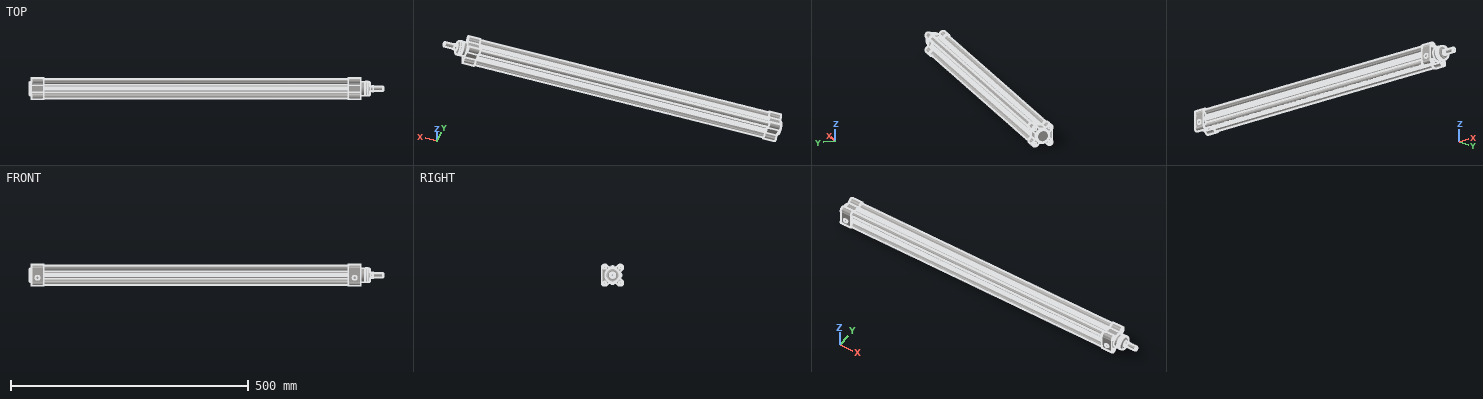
import cadquery as cq
import math


cap_length = 26.0
head_end_x = 694.0
head_start_x = head_end_x - cap_length
rod_shoulder_x = 720.0
thread_length = 22.0
rear_boss_length = 4.0

bolt_offset = 16.25
cap_lobe_radius = 6.5
cap_waist = 16.5
cap_side = bolt_offset + cap_lobe_radius
port_block_setback = 1.0

tube_lobe_radius = 4.5
core_radius = 16.0
barrel_radius = 17.5
barrel_half_width = 7.8
ridge_half_width = 2.8
ridge_shoulder = 18.6
ridge_top = 19.4

bolt_hole_radius = 3.0
bolt_hole_depth = 14.0
port_radius = 4.5
port_depth = 10.0
port_z = -5.5

boss_radius = 15.0
rear_boss_chamfer = 2.0
front_boss_end_x = 713.5
groove_start_x = 702.0
groove_width = 2.5
groove_depth = 0.5
collar_radius = 15.4
collar_end_x = 709.0
front_round_radius = 3.5

rod_radius = 6.0
thread_radius = 5.0
thread_chamfer = 1.5
flat_width = 10.0
flat_length = 5.0


def section_plane(x):
    """YZ sketch plane at x, extruding toward +X."""
    return cq.Workplane("YZ", origin=(x, 0, 0))


def cylinder(x, length, radius):
    return section_plane(x).circle(radius).extrude(length)


def lobed_arms(x, length, lobe_radius):
    """Two crossed diagonal bars with round ends centred on the bolt positions."""
    bar_length = 2 * (math.sqrt(2) * bolt_offset + lobe_radius)
    arms = section_plane(x).slot2D(bar_length, 2 * lobe_radius, 45).extrude(length)
    return arms.union(section_plane(x).slot2D(bar_length, 2 * lobe_radius, -45).extrude(length))


def lobed_block(x, block_x, block_length):
    """Waisted body of an end cap or head, with the -Y side filled flat for the port."""
    body = lobed_arms(x, cap_length, cap_lobe_radius)
    body = body.union(section_plane(x).rect(2 * cap_waist, 2 * cap_waist).extrude(cap_length))
    port_block = (
        section_plane(block_x)
        .center(-cap_side / 2, 0)
        .rect(cap_side, 2 * bolt_offset)
        .extrude(block_length)
    )
    return body.union(port_block)


def port(x):
    """Blind air port entering from the -Y side."""
    return (
        cq.Workplane("XZ", origin=(x, -cap_side, port_z))
        .circle(port_radius)
        .extrude(-port_depth)
    )


def bolt_holes(x, depth):
    spacing = 2 * bolt_offset
    return (
        section_plane(x)
        .rect(spacing, spacing, forConstruction=True)
        .vertices()
        .circle(bolt_hole_radius)
        .extrude(depth)
    )


def make_end_cap():
    cap = lobed_block(0, port_block_setback, cap_length - port_block_setback)
    boss = cylinder(-rear_boss_length, rear_boss_length, boss_radius)
    boss = boss.faces("<X").chamfer(rear_boss_chamfer)
    return cap.union(boss).cut(port(cap_length / 2)).cut(bolt_holes(0, bolt_hole_depth))


def make_tube():
    length = head_start_x - cap_length
    tube = cylinder(cap_length, length, core_radius)
    tube = tube.union(lobed_arms(cap_length, length, tube_lobe_radius))
    ridge_profile = [
        (-ridge_half_width, 0),
        (-ridge_half_width, ridge_shoulder),
        (0, ridge_top),
        (ridge_half_width, ridge_shoulder),
        (ridge_half_width, 0),
    ]
    strip = (
        section_plane(cap_length)
        .center(0, barrel_radius / 2)
        .rect(2 * barrel_half_width, barrel_radius)
        .extrude(length)
        .intersect(cylinder(cap_length, length, barrel_radius))
    )
    for quarter_turn in range(4):
        ridge = section_plane(cap_length).polyline(ridge_profile).close().extrude(length)
        side = strip.union(ridge)
        tube = tube.union(side.rotate((0, 0, 0), (1, 0, 0), 90 * quarter_turn))
    return tube


def make_head():
    head = lobed_block(head_start_x, head_start_x, cap_length)
    groove_end_x = groove_start_x + groove_width
    boss_profile = (
        cq.Workplane("XY")
        .moveTo(head_end_x, 0)
        .lineTo(head_end_x, boss_radius)
        .lineTo(groove_start_x, boss_radius)
        .lineTo(groove_start_x, boss_radius - groove_depth)
        .lineTo(groove_end_x, boss_radius - groove_depth)
        .lineTo(groove_end_x, collar_radius)
        .lineTo(collar_end_x, collar_radius)
        .lineTo(collar_end_x, boss_radius)
        .lineTo(front_boss_end_x - front_round_radius, boss_radius)
        .radiusArc((front_boss_end_x, boss_radius - front_round_radius), front_round_radius)
        .lineTo(front_boss_end_x, 0)
        .close()
    )
    boss = boss_profile.revolve(360, (0, 0, 0), (1, 0, 0))
    rod_bore = cylinder(head_start_x, front_boss_end_x - head_start_x, rod_radius)
    head = head.union(boss).cut(rod_bore).cut(port(head_start_x + cap_length / 2))
    return head.cut(bolt_holes(head_end_x, -bolt_hole_depth))


def make_piston_rod():
    rod = cylinder(head_start_x, rod_shoulder_x - head_start_x, rod_radius)
    thread = cylinder(rod_shoulder_x, thread_length, thread_radius).faces(">X").chamfer(thread_chamfer)
    flat_section = cylinder(front_boss_end_x, flat_length, rod_radius)
    between_flats = (
        section_plane(front_boss_end_x).rect(flat_width, 2 * rod_radius).extrude(flat_length)
    )
    return rod.cut(flat_section.cut(between_flats)).union(thread)


end_cap = make_end_cap()
tube = make_tube()
head = make_head()
piston_rod = make_piston_rod()

result = cq.Compound.makeCompound([end_cap.val(), tube.val(), head.val(), piston_rod.val()])